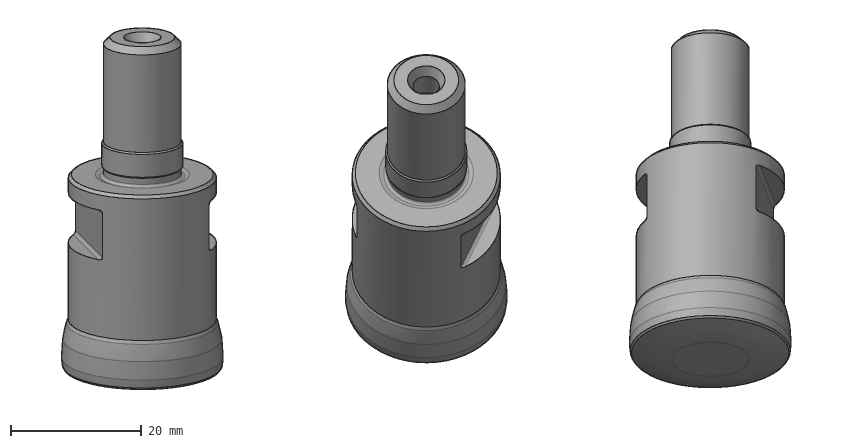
import cadquery as cq
import math

total_height = 54.0
split_z = 8.75
shoulder_z = 31.95

stud_radius = 12.0 / 2
stud_tip_radius = 4.95
stud_tip_chamfer = 1.0
collar_radius = 12.5 / 2
collar_bottom_z = 33.15
collar_top_z = 37.3
collar_chamfer = collar_radius - stud_radius

relief_outer_radius = 7.25
relief_depth = 0.2
relief_fillet = 0.45
relief_angle = math.atan2(relief_depth, relief_outer_radius - stud_radius - relief_fillet)

barrel_radius = 22.8 / 2
barrel_chamfer = 0.5
flat_distance = 17.05
flat_bottom_z = 21.05
flat_height = 8.0
flat_corner_fillet = 0.5

hole_radius = 4.0 / 2
hole_depth = 5.4
hole_mouth_radius = 2.85
mouth_half_angle = math.radians(30)
drill_half_angle = math.radians(59)

foot_radius = 24.9 / 2
foot_widest_z = 2.7
foot_top_edge_radius = 11.65
foot_top_edge_z = 8.2
foot_shoulder_radius = 12.25
foot_shoulder_z = 5.6
foot_bulge_radius = 12.05
foot_bulge_z = 6.9
foot_rim_radius = 12.3
foot_rim_z = 1.4
foot_rim_bulge_radius = 12.4
foot_rim_bulge_z = 2.15
dome_edge_radius = 12.1
dome_edge_z = 1.1
dome_flat_radius = 5.95


def make_body():
    """Barrel and stud turned in one piece, with wrench flats and a centre hole."""
    fillet_center_r = stud_radius + relief_fillet
    fillet_center_z = shoulder_z - relief_depth + relief_fillet
    fillet_end = (
        fillet_center_r + relief_fillet * math.sin(relief_angle),
        fillet_center_z - relief_fillet * math.cos(relief_angle),
    )
    fillet_mid_angle = (math.pi / 2 - relief_angle) / 2
    fillet_mid = (
        fillet_center_r - relief_fillet * math.cos(fillet_mid_angle),
        fillet_center_z - relief_fillet * math.sin(fillet_mid_angle),
    )
    body = (
        cq.Workplane("XZ")
        .moveTo(0, split_z)
        .lineTo(barrel_radius, split_z)
        .lineTo(barrel_radius, shoulder_z - barrel_chamfer)
        .lineTo(barrel_radius - barrel_chamfer, shoulder_z)
        .lineTo(relief_outer_radius, shoulder_z)
        .lineTo(*fillet_end)
        .threePointArc(fillet_mid, (stud_radius, fillet_center_z))
        .lineTo(stud_radius, collar_bottom_z)
        .lineTo(collar_radius, collar_bottom_z + collar_chamfer)
        .lineTo(collar_radius, collar_top_z - collar_chamfer)
        .lineTo(stud_radius, collar_top_z)
        .lineTo(stud_radius, total_height - stud_tip_chamfer)
        .lineTo(stud_tip_radius, total_height)
        .lineTo(0, total_height)
        .close()
        .revolve(360, (0, 0, 0), (0, 1, 0))
    )
    for side in (-1, 1):
        body = body.cut(make_flat_cutter(side))
    return body.cut(make_hole_cutter())


def make_flat_cutter(side):
    """Block that mills one wrench flat, with rounded inner corners."""
    block_depth = barrel_radius
    return (
        cq.Workplane("XY")
        .box(2 * barrel_radius, block_depth, flat_height)
        .edges("|X")
        .fillet(flat_corner_fillet)
        .translate((
            0,
            side * (flat_distance + block_depth) / 2,
            flat_bottom_z + flat_height / 2,
        ))
    )


def make_hole_cutter():
    """Centre hole with a conical mouth and a drill-point end."""
    mouth_depth = (hole_mouth_radius - hole_radius) / math.tan(mouth_half_angle)
    point_length = hole_radius / math.tan(drill_half_angle)
    wall_end_z = total_height - hole_depth
    return (
        cq.Workplane("XZ")
        .moveTo(0, total_height)
        .lineTo(hole_mouth_radius, total_height)
        .lineTo(hole_radius, total_height - mouth_depth)
        .lineTo(hole_radius, wall_end_z)
        .lineTo(0, wall_end_z - point_length)
        .close()
        .revolve(360, (0, 0, 0), (0, 1, 0))
    )


def make_foot():
    """Bulged foot under the barrel, with a crowned underside."""
    crown_width = dome_edge_radius - dome_flat_radius
    crown_radius = (crown_width**2 + dome_edge_z**2) / (2 * dome_edge_z)
    crown_mid_angle = math.asin(crown_width / crown_radius) / 2
    crown_mid = (
        dome_flat_radius + crown_radius * math.sin(crown_mid_angle),
        crown_radius * (1 - math.cos(crown_mid_angle)),
    )
    return (
        cq.Workplane("XZ")
        .lineTo(dome_flat_radius, 0)
        .threePointArc(crown_mid, (dome_edge_radius, dome_edge_z))
        .lineTo(foot_rim_radius, foot_rim_z)
        .threePointArc((foot_rim_bulge_radius, foot_rim_bulge_z), (foot_radius, foot_widest_z))
        .lineTo(foot_shoulder_radius, foot_shoulder_z)
        .threePointArc((foot_bulge_radius, foot_bulge_z), (foot_top_edge_radius, foot_top_edge_z))
        .lineTo(barrel_radius, split_z)
        .lineTo(0, split_z)
        .close()
        .revolve(360, (0, 0, 0), (0, 1, 0))
    )


body = make_body()
foot = make_foot()

result = cq.Compound.makeCompound([body.val(), foot.val()])